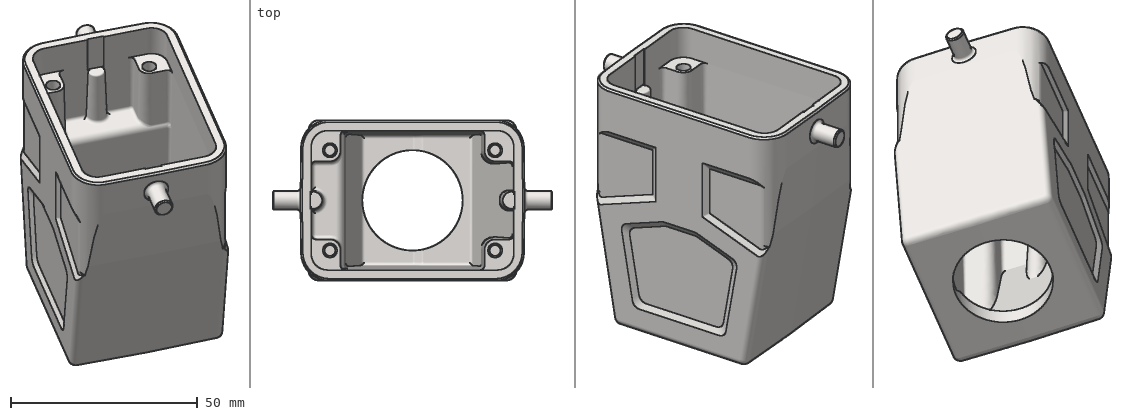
import cadquery as cq
import math

length = 75.0
depth = 43.0
height = 72.0
half_depth = depth / 2

top_half_width = 30.1
fold_half_width = 28.6
base_half_width = 21.6
upper_fold_z = 61.0
lower_fold_z = 42.0
end_wall_draft = 0.7
top_corner_radius = 7.5
edge_radius = 2.0
base_corner_radius = 2.4
rim_chamfer = 0.5

pin_z = 65.8
pin_diameter = 5.0
pin_chamfer = 0.4
pin_root_radius = 0.9

recess_depth = 1.0
recess_bevel_width = 1.7
shoulder_angle = 20.0
window_inner_x = 7.5
window_top_z = 58.95
window_low_inner_z = 42.4
window_floor_end_x = 25.35
window_blend_end_x = 27.3
window_corner_inset = 0.15
window_corner_radius = 0.75
panel_top_z = 36.9
panel_top_half_width = 5.25
panel_shoulder_half_width = 18.9
panel_bottom_half_width = 14.8
panel_bottom_z = 7.65
panel_corner_radius = 5.25

mouth_half_width = 27.15
mouth_half_depth = 18.7
mouth_corner_radius = 4.35
ledge_z = 62.85
channel_half_width = 19.35
bay_half_depth = 10.5
pillar_corner_radius = 2.7
cavity_draft = 1.2
cavity_fillet_radius = 1.35
bay_end_x = 26.9
inner_slope_angle = 15.0
shelf_z = 45.0
shelf_edge_x = 18.4
shelf_edge_radius = 2.1
left_wall_x = 17.85
left_floor_z = 3.0
floor_fillet_radius = 0.9
floor_step = 2.25
right_floor_z = left_floor_z + floor_step
left_floor_end_x = 13.5
right_floor_end_x = 15.9
floor_step_x = 0.4
cable_hole_diameter = 26.85
rib_tip_diameter = 4.5
rib_x = 26.5
rib_top_z = 61.2
rib_edge_radius = 0.45
rib_draft = 2.0
rib_groove_depth = 0.3
screw_x = 22.1
screw_y = 13.4
screw_mouth_diameter = 3.8
screw_hole_depth = 15.0
screw_hole_draft = 1.8

overshoot = 7.5
margin = 0.4
shoulder_fall = math.tan(math.radians(shoulder_angle))


def shoulder_z(x):
    """Height of the slanting lower edge of the windows at distance x from the middle."""
    return window_low_inner_z - shoulder_fall * (x - window_inner_x)


def mirrored(points):
    """Close a half outline (x >= 0) with its mirror image."""
    return points + [(-x, z) for x, z in reversed(points) if x > 0]


def within(half_x, half_y, low_z, high_z, right_x=None):
    """Selector for what is centred inside a box; right_x replaces its +X limit."""
    if right_x is None:
        right_x = half_x
    return cq.selectors.BoxSelector(
        (-half_x - margin, -half_y - margin, low_z - margin),
        (right_x + margin, half_y + margin, high_z + margin),
    )


def front_prism(points):
    """Solid over an X-Z outline, running through the whole depth and beyond."""
    reach = depth + 2 * overshoot
    return cq.Workplane("XZ").polyline(points).close().extrude(reach / 2, both=True)


def tapered_body():
    """Folded body, flaring upwards, whose end walls and base are drafted away from Y = 0."""
    flare = (top_half_width - fold_half_width) / (upper_fold_z - lower_fold_z)
    flared_z = height + overshoot
    flared_half_width = fold_half_width + flare * (flared_z - lower_fold_z)
    half = [
        (base_half_width, 0),
        (fold_half_width, lower_fold_z),
        (flared_half_width, flared_z),
    ]
    outline = cq.Sketch().polygon(mirrored(half) + half[:1]).vertices("<Y").fillet(base_corner_radius)
    front = cq.Workplane("XZ").placeSketch(outline).extrude(half_depth, taper=end_wall_draft)
    return front.union(front.mirror("XZ"))


def outer_body():
    """Upper part with large vertical corners over a lower part with small edge radii."""
    side = top_half_width + overshoot
    raised = 2 * recess_bevel_width
    below = front_prism(mirrored([
        (side, -overshoot),
        (side, shoulder_z(side) + raised),
        (0, shoulder_z(0) + raised),
    ]))
    body = tapered_body()

    bow = half_depth * math.tan(math.radians(end_wall_draft))
    corner_x = top_half_width - bow
    rounded = (
        cq.Workplane("XY")
        .polyline([(top_half_width, 0), (corner_x, half_depth), (-corner_x, half_depth),
                   (-top_half_width, 0), (-corner_x, -half_depth), (corner_x, -half_depth)])
        .close()
        .extrude(height)
        .edges("|Z and (>Y or <Y)")
        .fillet(top_corner_radius)
        .faces(">Z")
        .chamfer(rim_chamfer)
    )
    upper = body.intersect(rounded).cut(below)

    lower = body.faces("<Y or >Y").edges("not >Z").fillet(edge_radius)
    lower = lower.intersect(below)
    return upper.union(lower)


def recess_taper():
    """Slope of the recess bevels, in degrees from the direction of depth."""
    return math.degrees(math.atan2(recess_bevel_width, recess_depth))


def window_cutter():
    """Right-hand front window: bevelled frame and a flat floor blending into the body corner."""
    side = top_half_width + overshoot
    reach = 3 * recess_depth
    frame = (
        cq.Workplane("XZ", origin=(0, -half_depth, 0))
        .moveTo(window_inner_x, window_top_z)
        .lineTo(side, window_top_z)
        .lineTo(side, shoulder_z(side))
        .lineTo(window_inner_x, window_low_inner_z)
        .close()
        .extrude(-reach, taper=recess_taper())
    )
    frame = frame.edges("not #Y").edges("<X").fillet(window_corner_radius)

    floor_y = -half_depth + recess_depth
    blend_side = top_half_width - window_corner_inset
    corner_x = blend_side - top_corner_radius
    corner_y = -half_depth + top_corner_radius
    blend_y = corner_y - math.sqrt(top_corner_radius**2 - (window_blend_end_x - corner_x) ** 2)
    keep = (
        cq.Workplane("XY")
        .moveTo(0, -depth)
        .lineTo(0, floor_y)
        .lineTo(window_floor_end_x, floor_y)
        .tangentArcPoint((window_blend_end_x, blend_y), relative=False)
        .radiusArc((blend_side, corner_y), -top_corner_radius)
        .lineTo(side, corner_y)
        .lineTo(side, -depth)
        .close()
        .extrude(height)
    )
    return frame.intersect(keep)


def panel_cutter():
    """Bevelled shield-shaped recess in the lower half of the front face."""
    shoulder_drop = shoulder_fall * (panel_shoulder_half_width - panel_top_half_width)
    half = [
        (panel_bottom_half_width, panel_bottom_z),
        (panel_shoulder_half_width, panel_top_z - shoulder_drop),
        (panel_top_half_width, panel_top_z),
    ]
    outline = cq.Workplane("XZ", origin=(0, -half_depth, 0)).polyline(mirrored(half)).close()
    panel = outline.extrude(-recess_depth, taper=recess_taper())
    return panel.edges("not #Y").fillet(panel_corner_radius)


def ribs():
    """Two round ribs, widening downwards, standing half buried in the end walls."""
    return (
        cq.Workplane("XY", origin=(0, 0, rib_top_z))
        .pushPoints([(rib_x, 0), (-rib_x, 0)])
        .circle(rib_tip_diameter / 2)
        .extrude(-rib_top_z, taper=-rib_draft)
        .faces(">Z")
        .fillet(rib_edge_radius)
    )


def cavity():
    """Open mouth, then the space between the four screw pillars down to the stepped floor."""
    mouth = (
        cq.Workplane("XY", origin=(0, 0, ledge_z))
        .rect(2 * mouth_half_width, 2 * mouth_half_depth)
        .extrude(height)
        .edges("|Z")
        .fillet(mouth_corner_radius)
    )
    plan = (
        cq.Sketch()
        .rect(2 * mouth_half_width, 2 * bay_half_depth)
        .rect(2 * channel_half_width, 2 * mouth_half_depth)
        .clean()
        .vertices("<X or >X or <Y or >Y")
        .fillet(cavity_fillet_radius)
        .reset()
        .vertices(within(channel_half_width, bay_half_depth, 0, 0))
        .fillet(pillar_corner_radius)
    )
    shaft = cq.Workplane("XY", origin=(0, 0, ledge_z)).placeSketch(plan).extrude(-ledge_z, taper=cavity_draft)
    rise = math.tan(math.radians(90 - inner_slope_angle))
    right_kink_z = right_floor_z + rise * (bay_end_x - right_floor_end_x)
    left_kink_z = left_floor_z + rise * (left_wall_x - left_floor_end_x)
    profile = front_prism([
        (-mouth_half_width, ledge_z),
        (-bay_end_x, shelf_z),
        (-shelf_edge_x, shelf_z),
        (-left_wall_x, left_kink_z),
        (-left_floor_end_x, left_floor_z),
        (floor_step_x, left_floor_z),
        (floor_step_x + floor_step, right_floor_z),
        (right_floor_end_x, right_floor_z),
        (bay_end_x, right_kink_z),
        (mouth_half_width, ledge_z),
    ])
    shelf_front = within(shelf_edge_x, depth, shelf_z, shelf_z)
    profile = profile.edges("|Y").edges(shelf_front).fillet(shelf_edge_radius)
    shaft = shaft.intersect(profile)
    floor_edges = within(channel_half_width, mouth_half_depth, left_floor_z, right_floor_z)
    shaft = shaft.edges(floor_edges).fillet(floor_fillet_radius).cut(ribs())
    shelf_end_x = -shelf_edge_x - shelf_edge_radius
    shelf_edges = within(mouth_half_width, mouth_half_depth, shelf_z, shelf_z, shelf_end_x)
    shaft = shaft.edges(shelf_edges).fillet(floor_fillet_radius)
    return mouth.union(shaft)


def rib_grooves():
    """Shallow grooves in the mouth above the two ribs."""
    return (
        cq.Workplane("XY", origin=(0, 0, rib_top_z))
        .rect(2 * (mouth_half_width + rib_groove_depth), rib_tip_diameter)
        .extrude(height)
    )


def screw_holes():
    """Blind, drafted holes in the tops of the four pillars."""
    return (
        cq.Workplane("XY", origin=(0, 0, ledge_z))
        .rect(2 * screw_x, 2 * screw_y, forConstruction=True)
        .vertices()
        .circle(screw_mouth_diameter / 2)
        .extrude(-screw_hole_depth, taper=screw_hole_draft)
    )


def cable_hole():
    """Round hole through the floor."""
    return cq.Workplane("XY").circle(cable_hole_diameter / 2).extrude(right_floor_z + overshoot)


def pin():
    """Right-hand locking pin with a flared root, reaching into the end wall."""
    r = pin_diameter / 2
    tip = length / 2
    root = top_half_width
    inner = (top_half_width + mouth_half_width) / 2
    return (
        cq.Workplane("XZ", origin=(0, 0, pin_z))
        .moveTo(inner, 0)
        .lineTo(inner, r + pin_root_radius)
        .lineTo(root, r + pin_root_radius)
        .radiusArc((root + pin_root_radius, r), -pin_root_radius)
        .lineTo(tip - pin_chamfer, r)
        .lineTo(tip, r - pin_chamfer)
        .lineTo(tip, 0)
        .close()
        .revolve(360, (0, 0, 0), (1, 0, 0))
    )


right_window = window_cutter()
body = outer_body()
for cutter in (right_window, right_window.mirror("YZ"), panel_cutter()):
    body = body.cut(cutter).cut(cutter.mirror("XZ"))
for cutter in (cavity(), rib_grooves(), screw_holes(), cable_hole()):
    body = body.cut(cutter)

right_pin = pin()
result = body.union(right_pin).union(right_pin.mirror("YZ"))